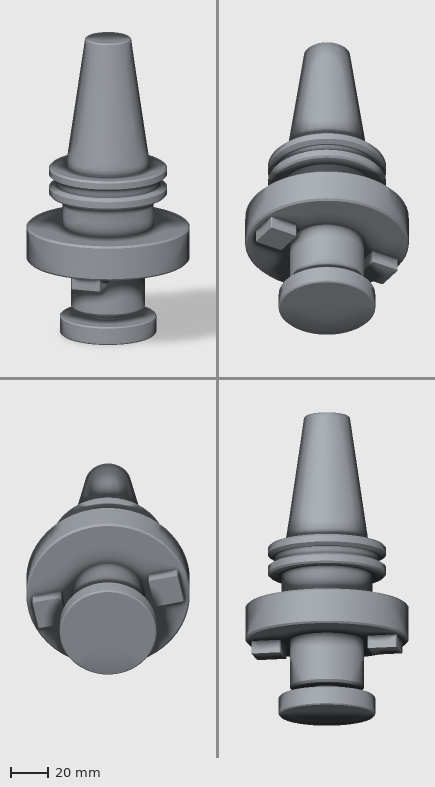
import cadquery as cq

screw_head_top = 10.0
spigot_bottom = 14.1
key_bottom = 34.0
drive_flange_bottom = 41.0
drive_flange_top = 60.0
grip_flange_bottom = 77.0
groove_middle = 85.0
grip_flange_top = 92.9
gauge_line = 96.0
overall_height = 164.4

screw_head_radius = 52.0 / 2
screw_neck_radius = 20.0 / 2
spigot_radius = 40.0 / 2
drive_flange_radius = 88.0 / 2
body_radius = 49.0 / 2
grip_flange_radius = 63.6 / 2
groove_root_radius = 56.4 / 2
gauge_radius = 44.5 / 2

taper_ratio = 7 / 24
shank_top_radius = gauge_radius - (overall_height - gauge_line) * taper_ratio / 2

screw_head_chamfer = 0.7
spigot_chamfer = 1.3
flange_chamfer = 1.0
shank_chamfer = 0.7

root_fillet = 0.5

groove_mouth_width = 7.0
groove_root_width = 4.0
groove_flank_depth = 2.6

key_width = 16.1
key_length = 16.0
key_center_offset = 31.9
key_corner_chamfer = 0.41


def disc(radius, bottom, top):
    """Plain cylinder on the tool axis between two heights."""
    return cq.Workplane("XY").workplane(offset=bottom).circle(radius).extrude(top - bottom)


def chamfered_disc(radius, bottom, top, chamfer):
    """Cylinder with both rims chamfered."""
    return disc(radius, bottom, top).faces("<Z or >Z").chamfer(chamfer)


def filleted_neck(radius, bottom, top):
    """Cylinder that flares through a concave fillet onto the wider face below it."""
    return (
        cq.Workplane("XZ")
        .moveTo(0, bottom)
        .lineTo(radius + root_fillet, bottom)
        .radiusArc((radius, bottom + root_fillet), root_fillet)
        .lineTo(radius, top)
        .lineTo(0, top)
        .close()
        .revolve(360, (0, 0, 0), (0, 1, 0))
    )


def clamping_screw():
    head = chamfered_disc(screw_head_radius, 0, screw_head_top, screw_head_chamfer)
    return head.union(filleted_neck(screw_neck_radius, screw_head_top, spigot_bottom))


def spigot():
    blank = disc(spigot_radius, spigot_bottom, drive_flange_bottom)
    return blank.faces("<Z").chamfer(spigot_chamfer)


def gripper_groove():
    """Ring removed from the rim of the gripper flange."""
    flank_radius = grip_flange_radius - groove_flank_depth
    half_mouth = groove_mouth_width / 2
    half_root = groove_root_width / 2
    return (
        cq.Workplane("XZ")
        .moveTo(groove_root_radius, groove_middle - half_root)
        .lineTo(flank_radius, groove_middle - half_root)
        .lineTo(grip_flange_radius, groove_middle - half_mouth)
        .lineTo(grip_flange_radius, groove_middle + half_mouth)
        .lineTo(flank_radius, groove_middle + half_root)
        .lineTo(groove_root_radius, groove_middle + half_root)
        .close()
        .revolve(360, (0, 0, 0), (0, 1, 0))
    )


def gripper_flange():
    blank = chamfered_disc(grip_flange_radius, grip_flange_bottom, grip_flange_top, flange_chamfer)
    return blank.cut(gripper_groove())


def taper_shank():
    """Short cylinder up to the gauge line, then the steep taper."""
    collar = filleted_neck(gauge_radius, grip_flange_top, gauge_line)
    cone = (
        cq.Workplane("XY")
        .workplane(offset=gauge_line)
        .circle(gauge_radius)
        .workplane(offset=overall_height - gauge_line)
        .circle(shank_top_radius)
        .loft()
        .faces(">Z")
        .chamfer(shank_chamfer)
    )
    return collar.union(cone)


def drive_keys():
    """Two opposed blocks along Y that hang below the large flange."""
    return (
        cq.Workplane("XY")
        .workplane(offset=key_bottom)
        .pushPoints([(0, key_center_offset), (0, -key_center_offset)])
        .rect(key_width, key_length)
        .extrude(drive_flange_bottom - key_bottom)
        .edges("|Z")
        .chamfer(key_corner_chamfer)
    )


result = (
    clamping_screw()
    .union(spigot())
    .union(chamfered_disc(drive_flange_radius, drive_flange_bottom, drive_flange_top, flange_chamfer))
    .union(disc(body_radius, drive_flange_top, grip_flange_bottom))
    .union(gripper_flange())
    .union(taper_shank())
    .union(drive_keys())
)